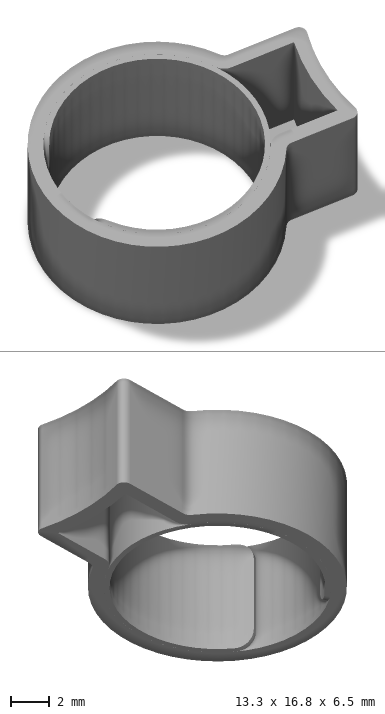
import cadquery as cq
import math

height = 6.5
band_diameter = 13.3
band_radius = band_diameter / 2
band_wall = 0.8
bore_radius = band_radius - band_wall

lug_center_x = -0.25
lug_half_width = 3.28
lug_inner_half_width = lug_half_width - band_wall
lug_middle_y = 9.8
end_curve_radius = 10.93
lug_corner_radius = 0.44
outer_neck_radius = 0.5
inner_neck_radius = 0.84

liner_thickness = 0.3
liner_inner_radius = bore_radius - liner_thickness
liner_half_gap_angle = 26.0
liner_corner_radius = 1.01


def prism(sketch):
    return sketch.extrude(height)


def make_lug_block(half_width, curve_radius):
    """Block from the band centre to a concave end; both ends curve about the same axis."""
    curve_center_y = lug_middle_y + end_curve_radius
    middle_y = curve_center_y - curve_radius
    corner_y = curve_center_y - math.sqrt(curve_radius**2 - half_width**2)
    left = lug_center_x - half_width
    right = lug_center_x + half_width
    return prism(
        cq.Workplane("XY")
        .moveTo(left, 0)
        .lineTo(left, corner_y)
        .threePointArc((lug_center_x, middle_y), (right, corner_y))
        .lineTo(right, 0)
        .close()
    )


def round_neck(body, half_width, ring_radius, fillet_radius):
    """Round the two upright edges where the lug walls meet a ring surface."""
    for x in (lug_center_x - half_width, lug_center_x + half_width):
        neck = (x, math.sqrt(ring_radius**2 - x**2), height / 2)
        body = body.edges(cq.NearestToPointSelector(neck)).fillet(fillet_radius)
    return body


def make_clamp():
    outside = prism(cq.Workplane("XY").circle(band_radius))
    outside = outside.union(make_lug_block(lug_half_width, end_curve_radius))
    outside = round_neck(outside, lug_half_width, band_radius, outer_neck_radius)
    outside = outside.edges("|Z and >Y").fillet(lug_corner_radius)

    inside = prism(cq.Workplane("XY").circle(bore_radius))
    inside = inside.union(make_lug_block(lug_inner_half_width, end_curve_radius + band_wall))
    inside = round_neck(inside, lug_inner_half_width, bore_radius, inner_neck_radius)
    return outside.cut(inside)


def make_liner():
    """C-shaped strip, open towards -Y, with rounded corners at both ends."""
    end_x = math.sin(math.radians(liner_half_gap_angle))
    end_y = -math.cos(math.radians(liner_half_gap_angle))
    strip = prism(
        cq.Workplane("XY")
        .moveTo(end_x * bore_radius, end_y * bore_radius)
        .threePointArc((0, bore_radius), (-end_x * bore_radius, end_y * bore_radius))
        .lineTo(-end_x * liner_inner_radius, end_y * liner_inner_radius)
        .threePointArc((0, liner_inner_radius), (end_x * liner_inner_radius, end_y * liner_inner_radius))
        .close()
    )
    return strip.edges("%LINE and #Z").fillet(liner_corner_radius)


clamp = make_clamp()
liner = make_liner()
result = cq.Compound.makeCompound([clamp.solids().val(), liner.solids().val()])